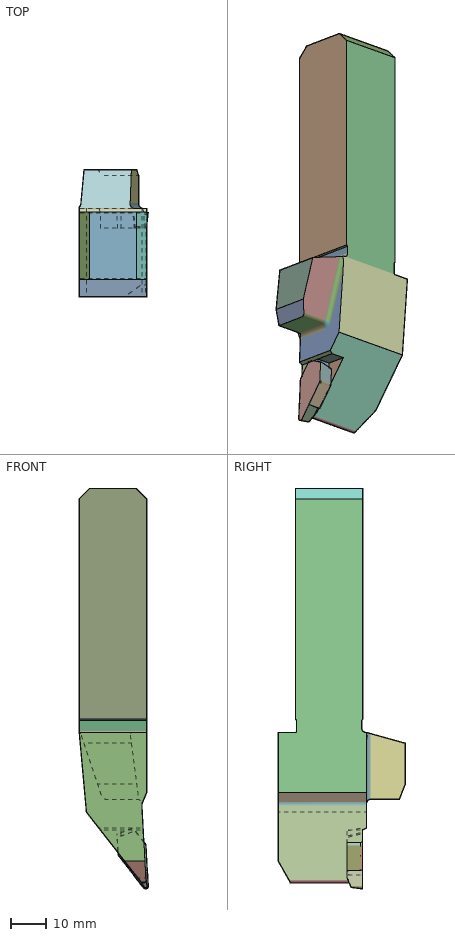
import cadquery as cq
import math

TOTAL_HEIGHT = 113.0

PICK_REACH = 0.06

SHANK_SIDE = 19.1
SHANK_FRONT_Y = 4.9
SHANK_BACK_Y = SHANK_FRONT_Y + SHANK_SIDE
SHANK_END_BEVEL = 2.9
NECK_TOP_Z = 47.9
NECK_DEPTH = 0.3
NECK_FILLET = 0.3
SHOULDER_FILLET = 1.2

HEAD_TOP_Z = 44.2
HEAD_BACK_Y = 25.0
HEAD_KNEE_X = 2.0
HEAD_KNEE_Z = 21.7
HEAD_TIP_RADIUS = 0.8
THROAT_TOP_Z = 27.2
THROAT_BOTTOM_Z = 24.0
THROAT_RADIUS = 4.4 / 2
HEAD_EDGE_X_AT_ZERO = 19.0
TOE_CHAMFER_Y = 3.4
TOE_CHAMFER_BOTTOM_Z = 1.9
TOE_CHAMFER_TOP_Z = 7.9

SIDE_EDGE_ANGLE = math.radians(3)
END_EDGE_ANGLE = math.radians(38)
INCLUDED_ANGLE = END_EDGE_ANGLE - SIDE_EDGE_ANGLE
AXIS_ANGLE = (END_EDGE_ANGLE + SIDE_EDGE_ANGLE) / 2

LUG_BACK_Y = 35.9
LUG_FOOT_Y = 34.2
LUG_BACK_TOP_Z = 41.1
LUG_BACK_BOTTOM_Z = 29.6
LUG_BOTTOM_Z = 25.3
LUG_LEFT_X = 0.3
LUG_LEFT_ANGLE = math.radians(18.5)
LUG_RIGHT_X = 14.3
LUG_RIGHT_ANGLE = math.radians(7.5)
LUG_FILLET = 2.5 / 2
LUG_ROOT_MARGIN = 3.4

INSERT_FACE_Y = 23.8
INSERT_THICKNESS = 4.4
INSERT_RELIEF_ANGLE = 7
INSERT_EDGE = 14.2
INSERT_BACK_LENGTH = 19.2
INSERT_BACK_LEAN = 0.9
INSERT_LAND = 0.6
INSERT_CORNER_RADIUS = 2.1 / 2
INSERT_MAX_X = 19.5
TIP_NOSE_RADIUS = 0.8
TIP_EDGE = 7.0
TIP_BEVEL_DEPTH = 1.4
TIP_BEVEL_TOP_Z = 3.2
TIP_STEP = 0.06

POCKET_TOP_Z = 16.6
POCKET_RIGHT_X = 11.8
FACE_STEP_TOP_Z = 17.2


def xz_prism(outline, y_front, y_back):
    """Extrude a closed XZ outline (a list of points) from y_front to y_back."""
    return (
        cq.Workplane("XZ", origin=(0, y_front, 0)).polyline(outline).close().extrude(y_front - y_back)
    )


def yz_prism(outline, x_left, x_right):
    """Extrude a closed YZ outline (a list of points) from x_left to x_right."""
    return cq.Workplane("YZ", origin=(x_left, 0, 0)).polyline(outline).close().extrude(x_right - x_left)


def edges_near(solid, x, z):
    """The edges parallel to Y that run through the given X and Z."""
    box = cq.selectors.BoxSelector(
        (x - PICK_REACH, -TOTAL_HEIGHT, z - PICK_REACH), (x + PICK_REACH, TOTAL_HEIGHT, z + PICK_REACH)
    )
    return solid.edges("|Y").edges(box)


def make_shank():
    """Square bar whose neck is relieved on the front and back."""
    bar = (
        cq.Workplane("XY", origin=(0, SHANK_FRONT_Y, HEAD_TOP_Z))
        .box(SHANK_SIDE, SHANK_SIDE, TOTAL_HEIGHT - HEAD_TOP_Z, centered=False)
        .edges("|Y and >Z")
        .chamfer(SHANK_END_BEVEL)
    )
    for face_y, inward in ((SHANK_FRONT_Y, 1), (SHANK_BACK_Y, -1)):
        neck_y = face_y + inward * NECK_DEPTH
        relief = [
            (face_y, HEAD_TOP_Z),
            (neck_y, HEAD_TOP_Z),
            (neck_y, NECK_TOP_Z - NECK_DEPTH),
            (face_y, NECK_TOP_Z),
        ]
        bar = bar.cut(yz_prism(relief, 0, SHANK_SIDE))
    return bar


def concave_fillet(y, outward, radius):
    """Rounded corner strip between the neck and the top of the head."""
    return (
        cq.Workplane("YZ")
        .moveTo(y, HEAD_TOP_Z)
        .lineTo(y + outward * radius, HEAD_TOP_Z)
        .radiusArc((y, HEAD_TOP_Z + radius), outward * radius)
        .close()
        .extrude(SHANK_SIDE)
    )


def head_outline():
    """Corners of the head in XZ, from the top left, down to the toe and up through the throat."""
    side_slope = math.tan(SIDE_EDGE_ANGLE)
    end_slope = math.tan(END_EDGE_ANGLE)
    throat_x = HEAD_EDGE_X_AT_ZERO - THROAT_BOTTOM_Z * side_slope
    toe_z = (HEAD_KNEE_X + HEAD_KNEE_Z * end_slope - HEAD_EDGE_X_AT_ZERO) / (end_slope - side_slope)
    toe_x = HEAD_EDGE_X_AT_ZERO - toe_z * side_slope
    return [
        (0, HEAD_TOP_Z),
        (HEAD_KNEE_X, HEAD_KNEE_Z),
        (toe_x, toe_z),
        (throat_x, THROAT_BOTTOM_Z),
        (SHANK_SIDE, THROAT_TOP_Z),
        (SHANK_SIDE, HEAD_TOP_Z),
    ]


def make_head():
    """Tapered block with a narrow toe, a throat on its +X side and a chamfered front edge."""
    outline = head_outline()
    toe = outline[2]
    throat = outline[3]
    head = xz_prism(outline, 0, HEAD_BACK_Y)
    head = edges_near(head, *toe).fillet(HEAD_TIP_RADIUS)
    head = edges_near(head, *throat).fillet(THROAT_RADIUS)
    front_chamfer = [
        (0, TOE_CHAMFER_TOP_Z),
        (TOE_CHAMFER_Y, TOE_CHAMFER_BOTTOM_Z),
        (TOE_CHAMFER_Y, 0),
        (0, 0),
    ]
    return head.cut(yz_prism(front_chamfer, 0, SHANK_SIDE))


def make_lug():
    """Wedge-shaped lug on a thin root plate, with a rounded left lower edge and a rounded root."""
    top_z = HEAD_TOP_Z + LUG_ROOT_MARGIN
    left_slope = math.tan(LUG_LEFT_ANGLE)
    right_slope = math.tan(LUG_RIGHT_ANGLE)
    drop = HEAD_TOP_Z - LUG_BOTTOM_Z
    sides = [
        (LUG_LEFT_X - LUG_ROOT_MARGIN * left_slope, top_z),
        (LUG_LEFT_X + drop * left_slope, LUG_BOTTOM_Z),
        (LUG_RIGHT_X + drop * right_slope, LUG_BOTTOM_Z),
        (LUG_RIGHT_X - LUG_ROOT_MARGIN * right_slope, top_z),
    ]
    plate_y = HEAD_BACK_Y - LUG_ROOT_MARGIN
    plate = cq.Workplane("XY", origin=(-LUG_ROOT_MARGIN, plate_y, LUG_BOTTOM_Z - LUG_ROOT_MARGIN)).box(
        SHANK_SIDE + 2 * LUG_ROOT_MARGIN,
        LUG_ROOT_MARGIN,
        top_z - LUG_BOTTOM_Z + 2 * LUG_ROOT_MARGIN,
        centered=False,
    )
    wedge = xz_prism(sides, plate_y, LUG_BACK_Y)
    wedge = edges_near(wedge, *sides[1]).fillet(LUG_FILLET)
    inside = LUG_ROOT_MARGIN / 2
    root_edges = cq.selectors.BoxSelector(
        (-inside, HEAD_BACK_Y - PICK_REACH, LUG_BOTTOM_Z - inside),
        (SHANK_SIDE + inside, HEAD_BACK_Y + PICK_REACH, top_z + inside),
    )
    lug = plate.union(wedge).edges(root_edges).fillet(LUG_FILLET)
    profile = [
        (plate_y, HEAD_TOP_Z),
        (HEAD_BACK_Y, HEAD_TOP_Z),
        (LUG_BACK_Y, LUG_BACK_TOP_Z),
        (LUG_BACK_Y, LUG_BACK_BOTTOM_Z),
        (LUG_FOOT_Y, LUG_BOTTOM_Z),
        (HEAD_BACK_Y, LUG_BOTTOM_Z - LUG_ROOT_MARGIN),
        (plate_y, LUG_BOTTOM_Z - LUG_ROOT_MARGIN),
    ]
    lug = lug.intersect(yz_prism(profile, 0, SHANK_SIDE))
    return lug.intersect(xz_prism(head_outline(), plate_y, LUG_BACK_Y))


def insert_point(along_end, along_side):
    """A point reached from the sharp tip by going up the end edge and up the side edge."""
    to_tip = TIP_NOSE_RADIUS / math.sin(INCLUDED_ANGLE / 2)
    tip_x = INSERT_MAX_X - TIP_NOSE_RADIUS + to_tip * math.sin(AXIS_ANGLE)
    tip_z = TIP_NOSE_RADIUS - to_tip * math.cos(AXIS_ANGLE)
    x = tip_x - along_end * math.sin(END_EDGE_ANGLE) - along_side * math.sin(SIDE_EDGE_ANGLE)
    z = tip_z + along_end * math.cos(END_EDGE_ANGLE) + along_side * math.cos(SIDE_EDGE_ANGLE)
    return (x, z)


def insert_layer(corners, radii, thickness, relief_angle):
    """Layer that starts at the insert face, with rounded corners and sides drawn in toward -Y."""
    layer = xz_prism(corners, INSERT_FACE_Y - thickness, INSERT_FACE_Y)
    for corner, radius in radii.items():
        layer = edges_near(layer, *corners[corner]).fillet(radius)
    if relief_angle == 0:
        return layer
    face = layer.faces(">Y").wires().toPending().workplane()
    return face.extrude(-thickness, combine=False, taper=relief_angle)


def insert_body_corners(inset):
    """Corners of the truncated rhombus, drawn in by the given distance from the tip's edges."""
    near = inset / math.sin(INCLUDED_ANGLE)
    far = INSERT_EDGE - near
    back = INSERT_BACK_LENGTH / math.cos(INCLUDED_ANGLE / 2) - far
    return [
        insert_point(near, near),
        insert_point(near, far),
        insert_point(back, far),
        insert_point(far, back),
        insert_point(far, near),
    ]


def tip_triangle(edge):
    """Corners of the tip end of the insert, with two equal edges of the given length."""
    return [insert_point(0, 0), insert_point(0, edge), insert_point(edge, 0)]


def make_insert_body():
    """Straight-sided body under a thin relieved land, with a back end that leans in toward -Y."""
    radii = {1: INSERT_CORNER_RADIUS, 4: INSERT_CORNER_RADIUS}
    land_run = INSERT_LAND * math.tan(math.radians(INSERT_RELIEF_ANGLE))
    land = insert_layer(insert_body_corners(TIP_STEP), radii, INSERT_LAND, INSERT_RELIEF_ANGLE)
    core = insert_layer(insert_body_corners(TIP_STEP + land_run), radii, INSERT_THICKNESS, 0)
    half_back = INSERT_BACK_LENGTH / 2 / math.cos(INCLUDED_ANGLE / 2)
    back_x, back_z = insert_point(half_back, half_back)
    back_plane = cq.Plane(
        origin=(back_x, INSERT_FACE_Y, back_z),
        xDir=(0, 1, 0),
        normal=(math.cos(AXIS_ANGLE), 0, math.sin(AXIS_ANGLE)),
    )
    lean = (
        cq.Workplane(back_plane)
        .polyline([(-INSERT_LAND, 0), (-INSERT_THICKNESS, 0), (-INSERT_THICKNESS, -INSERT_BACK_LEAN)])
        .close()
        .extrude(INSERT_EDGE, both=True)
    )
    return core.union(land).cut(lean)


def make_insert():
    """Insert whose lower corner is a relieved cutting tip, slightly proud and bevelled underneath."""
    floor_y = INSERT_FACE_Y - INSERT_THICKNESS
    tip_zone = xz_prism(tip_triangle(TIP_EDGE), floor_y, INSERT_FACE_Y)
    tip = insert_layer(
        tip_triangle(INSERT_EDGE), {0: TIP_NOSE_RADIUS}, INSERT_THICKNESS, INSERT_RELIEF_ANGLE
    ).intersect(tip_zone)
    bevel = [(floor_y, TIP_BEVEL_TOP_Z), (floor_y + TIP_BEVEL_DEPTH, 0), (floor_y, 0)]
    tip = tip.cut(yz_prism(bevel, 0, INSERT_MAX_X))
    return make_insert_body().cut(tip_zone).union(tip)


def make_pocket():
    """Open space around the insert on its left, and the step down to the insert face."""
    floor_y = INSERT_FACE_Y - INSERT_THICKNESS
    left_opening = cq.Workplane("XY", origin=(0, floor_y, 0)).box(
        POCKET_RIGHT_X, HEAD_BACK_Y - floor_y, POCKET_TOP_Z, centered=False
    )
    step = [
        (HEAD_BACK_Y, FACE_STEP_TOP_Z),
        (INSERT_FACE_Y, POCKET_TOP_Z),
        (INSERT_FACE_Y, 0),
        (HEAD_BACK_Y, 0),
    ]
    return left_opening.union(yz_prism(step, 0, SHANK_SIDE))


def make_holder(insert_body):
    """Shank, head and lug as one solid, with a seat that matches the insert."""
    blank = make_head().union(make_lug()).union(make_shank())
    blank = blank.union(concave_fillet(SHANK_BACK_Y - NECK_DEPTH, 1, SHOULDER_FILLET))
    blank = blank.union(concave_fillet(SHANK_FRONT_Y + NECK_DEPTH, -1, NECK_FILLET))
    return blank.cut(make_pocket()).cut(insert_body)


insert = make_insert()
holder = make_holder(insert)

result = cq.Compound.makeCompound([holder.solids().val(), insert.solids().val()])